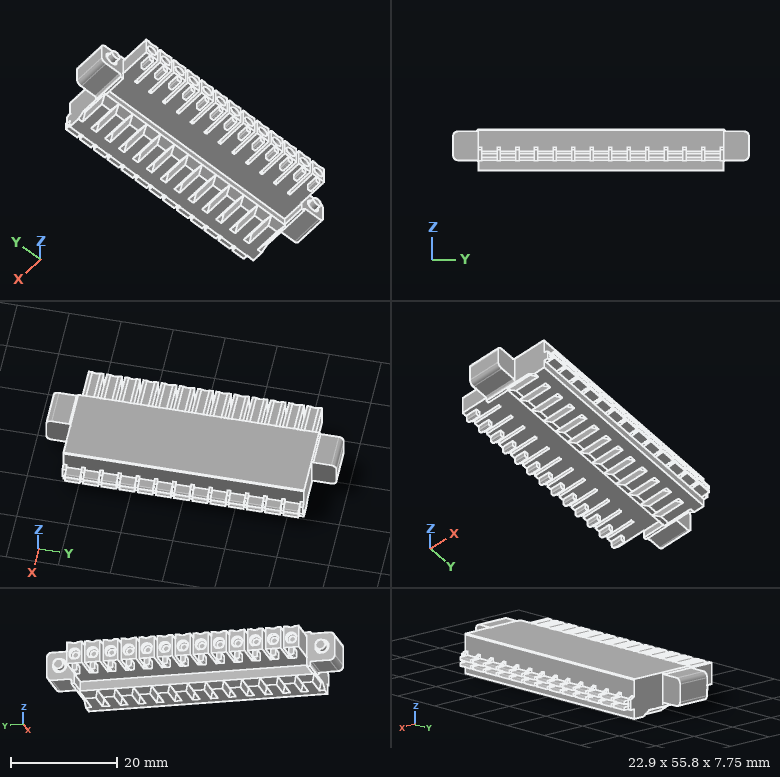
import cadquery as cq
import math


POLE_COUNT = 13
ROW_WIDTH = 45.5
POLE_PITCH = ROW_WIDTH / POLE_COUNT
POLE_WIDTH = 2.9
POLE_CENTRES = [(i - (POLE_COUNT - 1) / 2) * POLE_PITCH for i in range(POLE_COUNT)]
INNER_BOUNDARIES = [(i - POLE_COUNT / 2) * POLE_PITCH for i in range(1, POLE_COUNT)]

HOUSING_LENGTH = 14.4
HOUSING_WIDTH = 46.25
HOUSING_HEIGHT = 7.75
REAR_CHAMFER = 0.15
FLOOR_Z = 1.0
RAMP_START = 4.85
RAMP_END = 6.55
RECESS_WALL = 0.6

GROOVE_FLANK_WIDTH = 0.65
END_STEP_WIDTH = (HOUSING_WIDTH - ROW_WIDTH) / 2
GROOVE_ROOF_END = 10.5
GROOVE_END = 12.0

TOTAL_WIDTH = 55.8
EAR_LENGTH = 7.05
EAR_TOP = 7.4
EAR_BOTTOM = 1.9
EAR_RADIUS = 1.0
EAR_ROOT_RADIUS = 0.35
EAR_ROOT_BEVEL = 0.35
SCREW_Y = 25.4
SCREW_DIAMETER = 1.9
SCREW_LENGTH = 1.2
SCREW_HOLE_DIAMETER = 2.6
SCREW_HOLE_DEPTH = 0.55

FINGER_LENGTH = 6.5
FINGER_BOTTOM = 2.85
FINGER_TOP = 7.05
TROUGH_WIDTH = 1.5
TROUGH_DEPTH = 0.2
AXIS_Z = 4.75
BORE_DIAMETER = 2.05
BORE_DEPTH = 0.95
BORE_END_DIAMETER = 1.2
BORE_END_DEPTH = 0.2
TAB_WIDTH = 0.9
TAB_LENGTH = 2.45
TAB_SETBACK = 0.14
TAB_BOTTOM = 1.5
TAB_RADIUS = 0.3

NOSE_LENGTH = 0.9
NOSE_BOTTOM = 1.9
NOSE_TOP = 3.9
NOSE_ROOT_TOP = 4.4
PLATE_LENGTH = 1.95
PLATE_THICKNESS = 0.55
PLATE_EDGE_RADIUS = 0.2
PLATE_BOTTOMS = (1.95, 3.1)

OVERLAP = 0.3


def box(x_range, y_range, z_range):
    size = [end - start for start, end in (x_range, y_range, z_range)]
    corner = (x_range[0], y_range[0], z_range[0])
    return cq.Workplane("XY").box(*size, centered=False).translate(corner)


def across_row(points, width):
    """Extrude an XZ outline by `width`, centred on Y = 0."""
    return cq.Workplane("XZ").polyline(points).close().extrude(width / 2, both=True)


def x_cylinder(diameter, length, x, y, z):
    return cq.Workplane("YZ", origin=(x, y, z)).circle(diameter / 2).extrude(length)


def make_housing():
    outline = [
        (0, FLOOR_Z),
        (RAMP_START, FLOOR_Z),
        (RAMP_END, 0),
        (HOUSING_LENGTH, 0),
        (HOUSING_LENGTH, HOUSING_HEIGHT - REAR_CHAMFER),
        (HOUSING_LENGTH - REAR_CHAMFER, HOUSING_HEIGHT),
        (0, HOUSING_HEIGHT),
    ]
    recess_half = HOUSING_WIDTH / 2 - RECESS_WALL
    recess = box((0, RAMP_START), (-recess_half, recess_half), (FLOOR_Z, FINGER_BOTTOM))
    return across_row(outline, HOUSING_WIDTH).cut(recess)


def make_groove_cutter(roof_width=0):
    """Groove reaching up to the floor height, with sloping flanks and a sloped rear end."""
    roof_half = roof_width / 2
    mouth_half = roof_half + GROOVE_FLANK_WIDTH
    side = [(0, 0), (GROOVE_END, 0), (GROOVE_ROOF_END, FLOOR_Z), (0, FLOOR_Z)]
    section = [(-mouth_half, 0), (-roof_half, FLOOR_Z)]
    if roof_width > 0:
        section.append((roof_half, FLOOR_Z))
    section.append((mouth_half, 0))
    prism = cq.Workplane("YZ").polyline(section).close().extrude(GROOVE_END)
    return prism.intersect(across_row(side, 2 * mouth_half))


def make_ear():
    """Ear on the +Y side: rounded outer corners, bevelled above and filleted below at its root."""
    root = HOUSING_WIDTH / 2
    tip = TOTAL_WIDTH / 2
    inside = root - OVERLAP
    r = EAR_RADIUS
    f = EAR_ROOT_RADIUS
    r_mid = r * (1 - math.sqrt(0.5))
    f_mid = f * (1 - math.sqrt(0.5))
    ear = (
        cq.Workplane("YZ")
        .moveTo(inside, HOUSING_HEIGHT)
        .lineTo(root, HOUSING_HEIGHT)
        .lineTo(root + EAR_ROOT_BEVEL, EAR_TOP)
        .lineTo(tip - r, EAR_TOP)
        .threePointArc((tip - r_mid, EAR_TOP - r_mid), (tip, EAR_TOP - r))
        .lineTo(tip, EAR_BOTTOM + r)
        .threePointArc((tip - r_mid, EAR_BOTTOM + r_mid), (tip - r, EAR_BOTTOM))
        .lineTo(root + f, EAR_BOTTOM)
        .threePointArc((root + f_mid, EAR_BOTTOM - f_mid), (root, EAR_BOTTOM - f))
        .lineTo(inside, EAR_BOTTOM - f)
        .close()
        .extrude(EAR_LENGTH)
    )
    hole = x_cylinder(SCREW_HOLE_DIAMETER, SCREW_HOLE_DEPTH, 0, SCREW_Y, AXIS_Z)
    screw = x_cylinder(
        SCREW_DIAMETER, SCREW_LENGTH + SCREW_HOLE_DEPTH + OVERLAP, -SCREW_LENGTH, SCREW_Y, AXIS_Z
    )
    return ear.cut(hole).union(screw)


def make_finger():
    """Plug finger centred on Y = 0: troughed top, blind bore with a tapered end, and a tab below."""
    half = POLE_WIDTH / 2
    finger = (
        cq.Workplane("YZ", origin=(-FINGER_LENGTH, 0, 0))
        .moveTo(-half, FINGER_BOTTOM)
        .lineTo(half, FINGER_BOTTOM)
        .lineTo(half, FINGER_TOP)
        .lineTo(TROUGH_WIDTH / 2, FINGER_TOP)
        .threePointArc((0, FINGER_TOP - TROUGH_DEPTH), (-TROUGH_WIDTH / 2, FINGER_TOP))
        .lineTo(-half, FINGER_TOP)
        .close()
        .extrude(FINGER_LENGTH + OVERLAP)
    )
    bore = x_cylinder(BORE_DIAMETER, BORE_DEPTH, -FINGER_LENGTH, 0, AXIS_Z)
    bore_end = (
        cq.Workplane("YZ", origin=(BORE_DEPTH - FINGER_LENGTH, 0, AXIS_Z))
        .circle(BORE_DIAMETER / 2)
        .workplane(offset=BORE_END_DEPTH)
        .circle(BORE_END_DIAMETER / 2)
        .loft()
    )
    tab_front = TAB_SETBACK - FINGER_LENGTH
    tab = box(
        (tab_front, tab_front + TAB_LENGTH),
        (-TAB_WIDTH / 2, TAB_WIDTH / 2),
        (TAB_BOTTOM, FINGER_BOTTOM + OVERLAP),
    )
    tab = tab.edges("|X and <Z").fillet(TAB_RADIUS)
    return finger.union(tab).cut(bore).cut(bore_end)


def make_nose():
    """Rear nose along the whole row, with a window at each pole."""
    outline = [
        (HOUSING_LENGTH - OVERLAP, NOSE_BOTTOM),
        (HOUSING_LENGTH + NOSE_LENGTH, NOSE_BOTTOM),
        (HOUSING_LENGTH + NOSE_LENGTH, NOSE_TOP),
        (HOUSING_LENGTH, NOSE_ROOT_TOP),
        (HOUSING_LENGTH - OVERLAP, NOSE_ROOT_TOP),
    ]
    nose = across_row(outline, HOUSING_WIDTH)
    window = box(
        (HOUSING_LENGTH, HOUSING_LENGTH + NOSE_LENGTH),
        (-POLE_WIDTH / 2, POLE_WIDTH / 2),
        (NOSE_BOTTOM, NOSE_ROOT_TOP),
    )
    for y in POLE_CENTRES:
        nose = nose.cut(window.translate((0, y, 0)))
    return nose


def make_plate(y, bottom):
    plate = box(
        (HOUSING_LENGTH - OVERLAP, HOUSING_LENGTH + PLATE_LENGTH),
        (y - POLE_WIDTH / 2, y + POLE_WIDTH / 2),
        (bottom, bottom + PLATE_THICKNESS),
    )
    return plate.edges(">X and >Z").fillet(PLATE_EDGE_RADIUS)


groove = make_groove_cutter()
end_groove = make_groove_cutter(roof_width=2 * END_STEP_WIDTH)
finger = make_finger()
ear = make_ear()

result = make_housing()
for boundary in INNER_BOUNDARIES:
    result = result.cut(groove.translate((0, boundary, 0)))
for side in (-1, 1):
    result = result.cut(end_groove.translate((0, side * HOUSING_WIDTH / 2, 0)))
result = result.union(ear).union(ear.mirror("XZ")).union(make_nose())
for centre in POLE_CENTRES:
    result = result.union(finger.translate((0, centre, 0)))
    for plate_bottom in PLATE_BOTTOMS:
        result = result.union(make_plate(centre, plate_bottom))